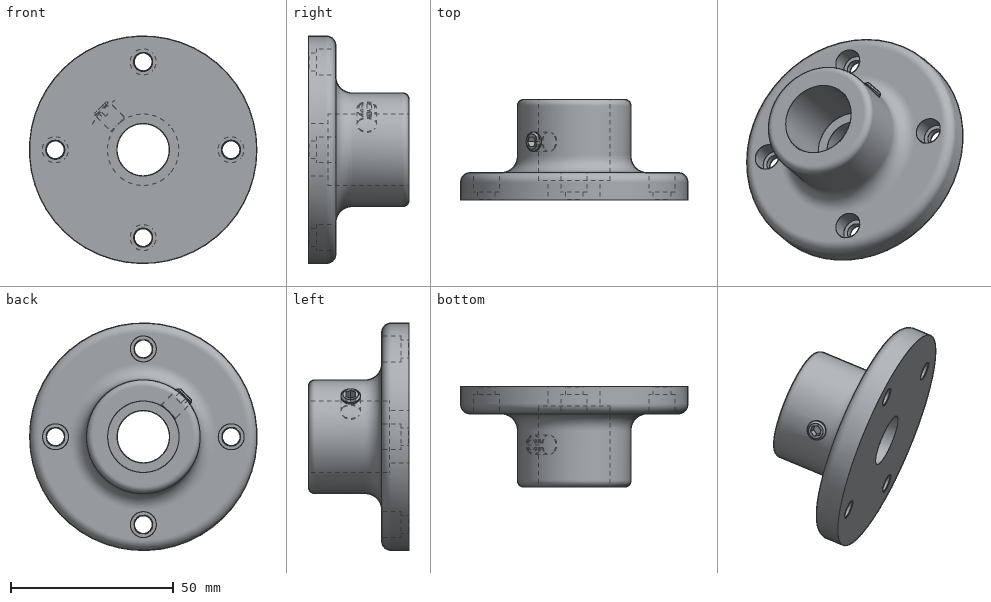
import cadquery as cq
import math

flange_radius = 35.0
flange_thickness = 8.5
flange_rounding = 3.0
hub_radius = flange_radius / 2
overall_length = 31.0
hub_rounding = 2.0
neck_fillet = 5.0
bore_diameter = 16.0
bore_land = 6.0
rear_bore_diameter = 22.0

hole_count = 4
hole_diameter = 5.45
hole_chamfer = 0.2
hole_land = 2.45
counterbore_diameter = 8.0
hole_circle_radius = 27.0

screw_angle = 45.0
screw_y = 18.0
screw_diameter = 6.0
screw_chamfer = 0.6
screw_inner_radius = rear_bore_diameter / 2
screw_outer_radius = 18.5
socket_across_flats = 3.0
socket_depth = 3.0

screw_length = screw_outer_radius - screw_inner_radius
socket_across_corners = socket_across_flats / math.cos(math.pi / 6)

screw_direction = cq.Vector(-math.cos(math.radians(screw_angle)), 0, math.sin(math.radians(screw_angle)))


def screw_plane(radius):
    """Plane across the screw axis at a distance from the hub axis."""
    origin = screw_direction * radius + cq.Vector(0, screw_y, 0)
    return cq.Plane(origin=origin, xDir=(0, 1, 0), normal=screw_direction)


def stepped_hole(diameter, land, rear_diameter, length):
    """Hole along the Y axis, narrow from the mounting face to the land depth and wider behind it."""
    front = cq.Workplane("XZ").circle(diameter / 2).extrude(-length)
    rear = cq.Workplane("XZ", origin=(0, land, 0)).circle(rear_diameter / 2).extrude(land - length)
    return front.union(rear)


def make_mounting_hole():
    mouth_radius = hole_diameter / 2 + hole_chamfer
    mouth = cq.Solid.makeCone(
        mouth_radius, hole_diameter / 2, hole_chamfer, pnt=cq.Vector(0, 0, 0), dir=cq.Vector(0, 1, 0)
    )
    return stepped_hole(hole_diameter, hole_land, counterbore_diameter, flange_thickness).union(
        cq.Workplane(mouth)
    )


def make_hub_body():
    diagonal = math.sqrt(0.5)
    flange_shoulder = flange_thickness - flange_rounding
    flange_flat_radius = flange_radius - flange_rounding
    neck_top = flange_thickness + neck_fillet
    neck_radius = hub_radius + neck_fillet
    hub_shoulder = overall_length - hub_rounding
    hub_end_radius = hub_radius - hub_rounding

    body = (
        cq.Workplane("XY")
        .lineTo(flange_radius, 0)
        .lineTo(flange_radius, flange_shoulder)
        .threePointArc(
            (flange_flat_radius + flange_rounding * diagonal, flange_shoulder + flange_rounding * diagonal),
            (flange_flat_radius, flange_thickness),
        )
        .lineTo(neck_radius, flange_thickness)
        .threePointArc(
            (neck_radius - neck_fillet * diagonal, neck_top - neck_fillet * diagonal),
            (hub_radius, neck_top),
        )
        .lineTo(hub_radius, hub_shoulder)
        .threePointArc(
            (hub_end_radius + hub_rounding * diagonal, hub_shoulder + hub_rounding * diagonal),
            (hub_end_radius, overall_length),
        )
        .lineTo(0, overall_length)
        .close()
        .revolve(360, (0, 0, 0), (0, 1, 0))
    )

    body = body.cut(stepped_hole(bore_diameter, bore_land, rear_bore_diameter, overall_length))
    mounting_hole = make_mounting_hole()

    for index in range(hole_count):
        angle = 2 * math.pi * index / hole_count
        hole_x = hole_circle_radius * math.cos(angle)
        hole_z = hole_circle_radius * math.sin(angle)
        body = body.cut(mounting_hole.translate((hole_x, 0, hole_z)))

    screw_hole = cq.Workplane(screw_plane(0)).circle(screw_diameter / 2).extrude(screw_outer_radius)
    return body.cut(screw_hole)


def make_set_screw():
    shank = (
        cq.Workplane(screw_plane(screw_inner_radius))
        .circle(screw_diameter / 2)
        .extrude(screw_length)
        .faces(cq.selectors.DirectionMinMaxSelector(screw_direction, True))
        .chamfer(screw_chamfer)
    )
    socket = (
        cq.Workplane(screw_plane(screw_outer_radius))
        .transformed(rotate=(0, 0, 30))
        .polygon(6, socket_across_corners)
        .extrude(-socket_depth)
    )
    return shank.cut(socket)


hub_body = make_hub_body()
set_screw = make_set_screw()

result = cq.Compound.makeCompound([hub_body.val(), set_screw.val()])